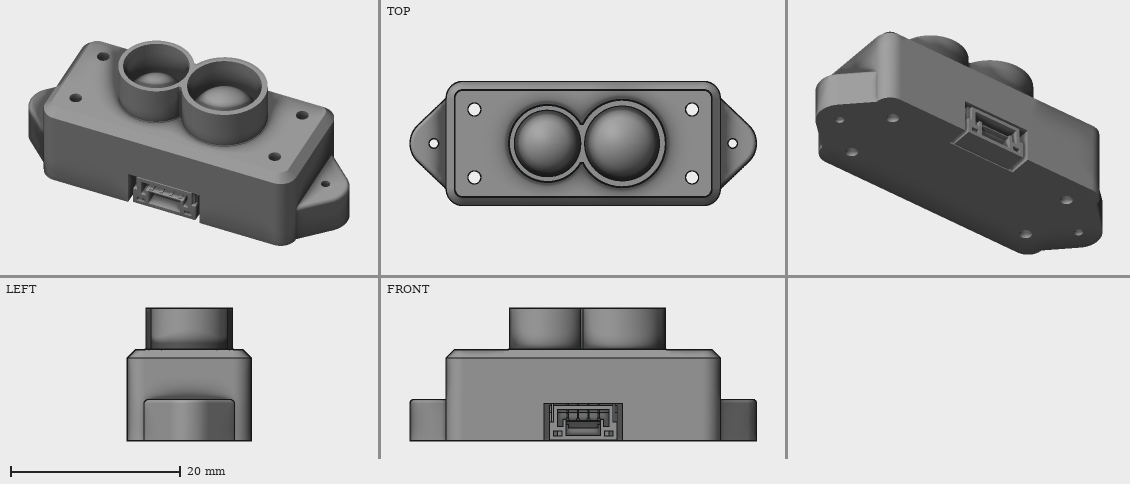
import cadquery as cq
import math

OVERALL_LENGTH = 40.95
SHELL_LENGTH = 32.45
SHELL_WIDTH = 14.7
SHELL_HEIGHT = 10.77
SHELL_CORNER_RADIUS = 2.0
SHELL_CHAMFER = 1.0

EAR_HEIGHT = 4.9
EAR_TIP_RADIUS = 3.0
EAR_EDGE_FILLET = 0.5
EAR_HOLE_DIAMETER = 1.1
EAR_HOLE_OFFSET = 17.65

RIM_WIDTH = 0.1
PLATE_THICKNESS = 1.0
PLATE_HOLE_DIAMETER = 1.5
PLATE_HOLE_SPACING_X = 25.72
PLATE_HOLE_SPACING_Y = 8.03

BARREL_TOP = 15.7
SMALL_TUBE_X = -4.2
SMALL_TUBE_RADIUS = 4.5
SMALL_LENS_RADIUS = 3.95
LARGE_TUBE_X = 4.6
LARGE_TUBE_RADIUS = 5.1
LARGE_LENS_RADIUS = 4.42
WEB_X = -0.15
WEB_WIDTH = 0.3
WEB_LENGTH = 4.5
FLANGE_LIP = 0.102
FLANGE_HEIGHT = 0.1
SMALL_LENS_SINK = 0.35

NOTCH_WIDTH = 9.25
NOTCH_HEIGHT = 4.42
CONNECTOR_SETBACK = 0.12

CONNECTOR_DEPTH = 2.85
CONNECTOR_BOTTOM = 0.12
BASE_WIDTH = 8.03
BASE_TOP = 2.25
HOOD_WIDTH = 7.05
HOOD_TOP = 4.18
WING_WIDTH = 7.55
WING_DEPTH = 0.45
LOW_TAB_TOP = 3.35
LOW_TAB_DEPTH = 0.8
HIGH_TAB_DEPTH = 1.23

SOCKET_WIDTH = 6.05
SOCKET_LEDGE = 1.7
SOCKET_TOP = 3.7
KEYWAY_WIDTH = 4.1
KEYWAY_FLOOR = 0.6
POST_THICKNESS = 0.35
POST_TOP = 2.55
UPPER_WALL_DEPTH = 1.47
LOWER_WALL_DEPTH = 1.6
WALL_STEP_Z = 3.35

TONGUE_TOP = 2.4
TONGUE_FRONT_DEPTH = 0.2
TONGUE_THICKNESS = 0.12
TONGUE_GUSSET = 0.35
RIB_WIDTH = 3.45
RIB_HEIGHT = 0.4
RIB_REACH = 0.33

POCKET_INNER_X = 2.55
POCKET_STEP_X = 3.05
POCKET_OUTER_X = 3.52
POCKET_BOTTOM = 0.57
POCKET_HEIGHT = 0.57
POCKET_INNER_DEPTH = 0.33
POCKET_OUTER_DEPTH = 0.65

PIN_COUNT = 4
PIN_PITCH = 1.23
BLADE_WIDTH = 0.35
BLADE_TIP_DEPTH = 0.35
BLADE_THICKNESS = 0.15
STEM_WIDTH = 0.15
STEM_THICKNESS = 0.25
STEM_CHAMFER = 0.15

BLADE_TOP = TONGUE_TOP + BLADE_THICKNESS
PLATE_BOTTOM = SHELL_HEIGHT - PLATE_THICKNESS
PLATE_INSET = SHELL_CHAMFER + RIM_WIDTH
PLATE_LENGTH = SHELL_LENGTH - 2 * PLATE_INSET
PLATE_WIDTH = SHELL_WIDTH - 2 * PLATE_INSET
PLATE_CORNER_RADIUS = SHELL_CORNER_RADIUS - PLATE_INSET
SMALL_LENS_BASE = PLATE_BOTTOM - SMALL_LENS_SINK
LARGE_LENS_BASE = PLATE_BOTTOM
CONNECTOR_FRONT_Y = CONNECTOR_SETBACK - SHELL_WIDTH / 2
PIN_XS = [(i - (PIN_COUNT - 1) / 2) * PIN_PITCH for i in range(PIN_COUNT)]


def box(x_min, x_max, y_min, y_max, z_min, z_max):
    """Axis-aligned block between the given limits."""
    block = cq.Workplane("XY").box(x_max - x_min, y_max - y_min, z_max - z_min, centered=False)
    return block.translate((x_min, y_min, z_min))


def cylinder(x, radius, z_min, z_max):
    """Upright cylinder standing on the long centreline."""
    return cq.Workplane("XY", origin=(x, 0, z_min)).circle(radius).extrude(z_max - z_min)


def connector_block(width, z_min, z_max, front_depth, back_depth=CONNECTOR_DEPTH):
    """Block centred on X, placed by its depth behind the connector's front face."""
    y_front = CONNECTOR_FRONT_Y + front_depth
    y_back = CONNECTOR_FRONT_Y + back_depth
    return box(-width / 2, width / 2, y_front, y_back, z_min, z_max)


def connector_profile(points, x_centre, width):
    """Extrude along X a profile given as (depth behind the connector face, z)."""
    outline = [(CONNECTOR_FRONT_Y + depth, z) for depth, z in points]
    sketch = cq.Workplane("YZ", origin=(x_centre - width / 2, 0, 0)).polyline(outline).close()
    return sketch.extrude(width)


def screw_holes():
    """Four screw holes through the plate and the shell."""
    pattern = cq.Workplane("XY").rect(PLATE_HOLE_SPACING_X, PLATE_HOLE_SPACING_Y, forConstruction=True)
    return pattern.vertices().circle(PLATE_HOLE_DIAMETER / 2).extrude(SHELL_HEIGHT)


def make_ears():
    """Bar whose two rounded, tapering ends form the mounting ears."""
    tip_x = OVERALL_LENGTH / 2
    tip_centre_x = tip_x - EAR_TIP_RADIUS
    root_x = SHELL_LENGTH / 2
    root_y = SHELL_WIDTH / 2 - SHELL_CORNER_RADIUS
    root_distance = math.hypot(root_x - tip_centre_x, root_y)
    root_angle = math.atan2(root_y, root_x - tip_centre_x)
    tangent_angle = root_angle - math.acos(EAR_TIP_RADIUS / root_distance)
    tangent_x = tip_centre_x + EAR_TIP_RADIUS * math.cos(tangent_angle)
    tangent_y = EAR_TIP_RADIUS * math.sin(tangent_angle)
    outline = (
        cq.Workplane("XY")
        .moveTo(-root_x, root_y)
        .lineTo(root_x, root_y)
        .lineTo(tangent_x, tangent_y)
        .threePointArc((tip_x, 0), (tangent_x, -tangent_y))
        .lineTo(root_x, -root_y)
        .lineTo(-root_x, -root_y)
        .lineTo(-tangent_x, -tangent_y)
        .threePointArc((-tip_x, 0), (-tangent_x, tangent_y))
        .close()
    )
    ears = outline.extrude(EAR_HEIGHT).faces(">Z").edges().fillet(EAR_EDGE_FILLET)
    holes = (
        cq.Workplane("XY")
        .pushPoints([(-EAR_HOLE_OFFSET, 0), (EAR_HOLE_OFFSET, 0)])
        .circle(EAR_HOLE_DIAMETER / 2)
        .extrude(EAR_HEIGHT)
    )
    return ears.cut(holes)


def plate_blank():
    """Cover plate before its openings; also the recess that holds it."""
    blank = cq.Workplane("XY", origin=(0, 0, PLATE_BOTTOM)).rect(PLATE_LENGTH, PLATE_WIDTH)
    return blank.extrude(PLATE_THICKNESS).edges("|Z").fillet(PLATE_CORNER_RADIUS)


def make_shell():
    shell = cq.Workplane("XY").rect(SHELL_LENGTH, SHELL_WIDTH).extrude(SHELL_HEIGHT)
    shell = shell.edges("|Z").fillet(SHELL_CORNER_RADIUS)
    shell = shell.faces(">Z").edges().chamfer(SHELL_CHAMFER)
    shell = shell.union(make_ears())
    notch = connector_block(NOTCH_WIDTH, 0, NOTCH_HEIGHT, -CONNECTOR_SETBACK)
    lens_seat = cylinder(SMALL_TUBE_X, SMALL_LENS_RADIUS, SMALL_LENS_BASE, PLATE_BOTTOM)
    return shell.cut(plate_blank()).cut(lens_seat).cut(notch).cut(screw_holes())


def make_plate():
    small_opening = cylinder(SMALL_TUBE_X, SMALL_LENS_RADIUS, PLATE_BOTTOM, SHELL_HEIGHT)
    large_opening = cylinder(LARGE_TUBE_X, LARGE_LENS_RADIUS, PLATE_BOTTOM, SHELL_HEIGHT)
    return plate_blank().cut(small_opening).cut(large_opening).cut(screw_holes())


def twin_tube(lip, z_max):
    """Two solid cylinders joined by a web, all grown sideways by the lip."""
    web_width = WEB_WIDTH + 2 * lip
    web_length = WEB_LENGTH + 2 * lip
    web = box(
        WEB_X - web_width / 2, WEB_X + web_width / 2, -web_length / 2, web_length / 2, SHELL_HEIGHT, z_max
    )
    small_tube = cylinder(SMALL_TUBE_X, SMALL_TUBE_RADIUS + lip, SHELL_HEIGHT, z_max)
    large_tube = cylinder(LARGE_TUBE_X, LARGE_TUBE_RADIUS + lip, SHELL_HEIGHT, z_max)
    return small_tube.union(large_tube).union(web)


def make_barrel():
    barrel = twin_tube(0, BARREL_TOP).union(twin_tube(FLANGE_LIP, SHELL_HEIGHT + FLANGE_HEIGHT))
    small_bore = cylinder(SMALL_TUBE_X, SMALL_LENS_RADIUS, SHELL_HEIGHT, BARREL_TOP)
    large_bore = cylinder(LARGE_TUBE_X, LARGE_LENS_RADIUS, SHELL_HEIGHT, BARREL_TOP)
    return barrel.cut(small_bore).cut(large_bore)


def make_lens(x, radius, base_z):
    """Hemispherical lens with its flat face down."""
    half_profile = (
        cq.Workplane("XZ", origin=(x, 0, base_z))
        .lineTo(radius, 0)
        .radiusArc((0, radius), -radius)
        .close()
    )
    return half_profile.revolve(360, (0, 0), (0, 1))


def make_socket():
    """Plug opening: a wide upper part, a deeper keyway, and a post on each side of the keyway."""
    socket = connector_block(SOCKET_WIDTH, SOCKET_LEDGE, SOCKET_TOP, 0, UPPER_WALL_DEPTH)
    undercut = connector_block(SOCKET_WIDTH, SOCKET_LEDGE, WALL_STEP_Z, 0, LOWER_WALL_DEPTH)
    posts_width = KEYWAY_WIDTH + 2 * POST_THICKNESS
    posts = connector_block(posts_width, SOCKET_LEDGE, POST_TOP, 0)
    keyway = connector_block(KEYWAY_WIDTH, KEYWAY_FLOOR, POST_TOP, 0, LOWER_WALL_DEPTH)
    return socket.union(undercut).cut(posts).union(keyway)


def make_tongue():
    """Thin tongue on the socket's back wall, with a 45-degree gusset and a sloped rib below."""
    wall = LOWER_WALL_DEPTH
    underside_z = TONGUE_TOP - TONGUE_THICKNESS
    root_z = underside_z - TONGUE_GUSSET
    tongue = connector_profile(
        [
            (wall, TONGUE_TOP),
            (TONGUE_FRONT_DEPTH, TONGUE_TOP),
            (TONGUE_FRONT_DEPTH, underside_z),
            (wall - RIB_REACH - TONGUE_GUSSET, underside_z),
            (wall - RIB_REACH, root_z),
            (wall, root_z),
        ],
        0,
        KEYWAY_WIDTH,
    )
    rib = connector_profile(
        [(wall, root_z), (wall - RIB_REACH, root_z), (wall, root_z - RIB_HEIGHT)], 0, RIB_WIDTH
    )
    return tongue.union(rib)


def make_pocket(side):
    """Two-step latch pocket on the given side (-1 or 1)."""
    steps = [
        (POCKET_INNER_X, POCKET_STEP_X, POCKET_INNER_DEPTH),
        (POCKET_STEP_X, POCKET_OUTER_X, POCKET_OUTER_DEPTH),
    ]
    pocket = cq.Workplane("XY")
    for inner_x, outer_x, depth in steps:
        x_min, x_max = sorted((side * inner_x, side * outer_x))
        y_back = CONNECTOR_FRONT_Y + depth
        step = box(x_min, x_max, CONNECTOR_FRONT_Y, y_back, POCKET_BOTTOM, POCKET_BOTTOM + POCKET_HEIGHT)
        pocket = pocket.add(step)
    return pocket.combine()


def make_pin(x):
    """Contact with a wide level blade and a narrow stem that follows the stepped back wall."""
    back = LOWER_WALL_DEPTH + STEM_THICKNESS
    wall_step = LOWER_WALL_DEPTH - UPPER_WALL_DEPTH
    blade = connector_profile(
        [
            (BLADE_TIP_DEPTH, TONGUE_TOP),
            (BLADE_TIP_DEPTH, BLADE_TOP),
            (back, BLADE_TOP),
            (back, TONGUE_TOP),
        ],
        x,
        BLADE_WIDTH,
    )
    stem = connector_profile(
        [
            (back, TONGUE_TOP),
            (LOWER_WALL_DEPTH - STEM_CHAMFER, TONGUE_TOP),
            (LOWER_WALL_DEPTH - STEM_CHAMFER, BLADE_TOP),
            (LOWER_WALL_DEPTH, BLADE_TOP + STEM_CHAMFER),
            (LOWER_WALL_DEPTH, WALL_STEP_Z - wall_step),
            (UPPER_WALL_DEPTH, WALL_STEP_Z),
            (UPPER_WALL_DEPTH, NOTCH_HEIGHT),
            (back, NOTCH_HEIGHT),
        ],
        x,
        STEM_WIDTH,
    )
    return blade.union(stem)


def make_connector(pins):
    connector = connector_block(BASE_WIDTH, CONNECTOR_BOTTOM, BASE_TOP, 0)
    connector = connector.union(connector_block(HOOD_WIDTH, BASE_TOP, HOOD_TOP, 0))
    connector = connector.union(connector_block(WING_WIDTH, BASE_TOP, NOTCH_HEIGHT, WING_DEPTH))
    connector = connector.cut(connector_block(HOOD_WIDTH, HOOD_TOP, NOTCH_HEIGHT, 0, UPPER_WALL_DEPTH))
    connector = connector.union(connector_block(BASE_WIDTH, BASE_TOP, LOW_TAB_TOP, LOW_TAB_DEPTH))
    connector = connector.union(connector_block(BASE_WIDTH, LOW_TAB_TOP, HOOD_TOP, HIGH_TAB_DEPTH))
    connector = connector.cut(make_socket())
    connector = connector.union(make_tongue())
    for side in (-1, 1):
        connector = connector.cut(make_pocket(side))
    for pin in pins:
        connector = connector.cut(pin)
    return connector


shell = make_shell()
plate = make_plate()
barrel = make_barrel()
small_lens = make_lens(SMALL_TUBE_X, SMALL_LENS_RADIUS, SMALL_LENS_BASE)
large_lens = make_lens(LARGE_TUBE_X, LARGE_LENS_RADIUS, LARGE_LENS_BASE)
pins = [make_pin(x) for x in PIN_XS]
connector = make_connector(pins)

result = cq.Compound.makeCompound(
    [
        shell.val(),
        plate.val(),
        barrel.val(),
        small_lens.val(),
        large_lens.val(),
        connector.val(),
        *[pin.val() for pin in pins],
    ]
)